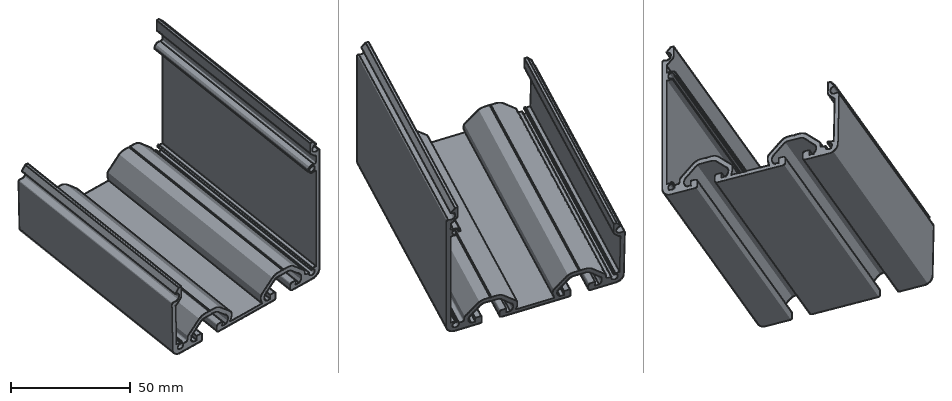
import cadquery as cq
import math

length = 100.0
half_width = 40.0
wall = 2.0
corner_radius = 4.0
tall_wall_height = 77.0
short_wall_height = 37.1
short_wall_lean = 1.1

channel_y = 20.0
slot_half = 4.0
lip_width = 3.0
lip_height = 4.4
lip_radius = 1.0
arch_half = 12.0
arch_height = 14.4
arch_roof_half = 4.5
arch_knee_radius = 2.0
roof_outer_radius = 5.0
roof_inner_radius = 3.0
arch_root_inset = 0.6
bulge_radius = 3.0
bulge_offset = 7.1
bulge_z = 4.5
cavity_roof_z = 12.0
scribe_width = 0.6
scribe_depth = 0.2

groove_radius = 1.5
groove_u = 4.2
groove_z = 3.8
shelf_radius = 1.0
barb_z = 6.0

rail_inset = 5.2
rail_groove_radius = 2.0
tall_groove_z = 72.6
short_groove_z = 32.5
tall_shoulder_drop = 1.6
short_shoulder_drop = 1.9
shoulder_radius = 0.9

catch_z = 62.0
catch_u = 4.1
catch_inner_radius = 1.4
catch_outer_radius = 2.3
catch_shelf_z = 64.1
catch_end_z = 61.7
catch_lip_z = 59.8
catch_fillet = 0.6


def bar(corners):
    """Prism along X from (y, z, corner radius) points; radius 0 is a sharp corner."""
    runs = []
    for i, (y, z, radius) in enumerate(corners):
        corner = cq.Vector(y, z)
        to_last = (cq.Vector(*corners[i - 1][:2]) - corner).normalized()
        to_next = (cq.Vector(*corners[(i + 1) % len(corners)][:2]) - corner).normalized()
        if radius == 0:
            runs.append([corner])
            continue
        half_angle = to_last.getAngle(to_next) / 2
        setback = radius / math.tan(half_angle)
        depth = radius / math.sin(half_angle) - radius
        middle = corner + (to_last + to_next).normalized() * depth
        runs.append([corner + to_last * setback, middle, corner + to_next * setback])

    outline = cq.Workplane("YZ", origin=(-length / 2, 0, 0)).moveTo(*runs[0][-1].toTuple()[:2])
    for run in runs[1:] + runs[:1]:
        outline = outline.lineTo(*run[0].toTuple()[:2])
        if len(run) == 3:
            outline = outline.threePointArc(run[1].toTuple()[:2], run[2].toTuple()[:2])
    return outline.close().extrude(length)


def rod(y, z, radius):
    """Cylinder along the full length."""
    return cq.Workplane("YZ", origin=(-length / 2, y, z)).circle(radius).extrude(length)


def from_wall(corners):
    """Turn distances from the outer face of the +Y wall into y coordinates."""
    return [(half_width - u, z, radius) for u, z, radius in corners]


def mirrored(body):
    return body.mirror("XZ")


def arch():
    """Flat-roofed arch with 45 degree shoulders and a cavity with rounded sides."""
    knee_z = arch_height - (arch_half - arch_roof_half)
    root_half = arch_half - arch_root_inset
    outer = [
        (-root_half, wall / 2, 0),
        (-root_half, wall, 0),
        (-arch_half, bulge_z, 0),
        (-arch_half, knee_z, arch_knee_radius),
        (-arch_roof_half, arch_height, roof_outer_radius),
    ]
    tangent = bulge_radius * math.sqrt(0.5)
    cavity_knee = (bulge_offset + tangent, bulge_z + tangent)
    cavity_roof_half = sum(cavity_knee) - cavity_roof_z
    cavity = [
        (-bulge_offset, 0, 0),
        (-bulge_offset, bulge_z - bulge_radius, 0),
        (-cavity_knee[0], cavity_knee[1], 0),
        (-cavity_roof_half, cavity_roof_z, roof_inner_radius),
    ]

    def symmetric(left_half):
        right_half = [(-y, z, radius) for y, z, radius in reversed(left_half)]
        return bar(left_half + right_half)

    body = symmetric(outer).cut(symmetric(cavity))
    for side in (-1, 1):
        body = body.cut(rod(side * bulge_offset, bulge_z, bulge_radius))
    scribe = bar([
        (-scribe_width / 2, arch_height, 0),
        (0, arch_height - scribe_depth, 0),
        (scribe_width / 2, arch_height, 0),
    ])
    return body.cut(scribe).translate((0, channel_y, 0))


def inner_foot():
    """Floor from the middle to the slot, ending in an upturned lip."""
    edge = channel_y - slot_half
    return bar([
        (0, 0, 0),
        (edge, 0, lip_radius),
        (edge, lip_height, lip_radius),
        (edge - lip_width, lip_height, 0),
        (edge - lip_width, wall, 0),
        (0, wall, 0),
    ])


def outer_foot():
    """Floor from the slot to the wall, with the bottom corner, barb and screw groove."""
    edge = channel_y + slot_half
    arch_face = channel_y + arch_half
    fill = arch_face - wall / 2
    groove_y = half_width - groove_u
    barb_tip = 0.7
    barb_rise = 0.5
    body = bar([
        (edge, 0, lip_radius),
        (half_width, 0, corner_radius),
        (half_width, barb_z, 0),
        (groove_y + barb_tip / 2, barb_z, 0),
        (groove_y, barb_z + barb_rise, 0),
        (groove_y - barb_tip, barb_z, 0),
        (groove_y - barb_tip / 2, groove_z + groove_radius, 0),
        (groove_y, groove_z, 0),
        (groove_y - groove_radius, lip_height, 0),
        (arch_face, lip_height, shelf_radius),
        (arch_face, barb_z, 0),
        (fill, barb_z, 0),
        (fill, wall, 0),
        (edge + lip_width, wall, 0),
        (edge + lip_width, lip_height, 0),
        (edge, lip_height, lip_radius),
    ])
    return body.cut(rod(groove_y, groove_z, groove_radius))


def upright(top, rail_groove_z, shoulder_drop):
    """Wall on the +Y side with an inset snap rail along its top."""
    rail_top_width = 1.3
    tip_u = 1.9
    tip_rise = 0.2
    bend_drop = 1.5
    bend_radius = 2.0
    groove_top_z = rail_groove_z + rail_groove_radius
    bend_z = rail_groove_z - bend_drop
    shoulder_z = rail_groove_z - shoulder_drop
    body = bar(from_wall([
        (0, corner_radius, 0),
        (0, shoulder_z, shoulder_radius),
        (rail_groove_radius, shoulder_z, 0),
        (rail_groove_radius, groove_top_z, 0),
        (tip_u, groove_top_z + tip_rise, 0),
        (rail_inset - rail_top_width, top, 0),
        (rail_inset, top, 0),
        (rail_inset, bend_z, bend_radius),
        (wall, bend_z - (rail_inset - wall), 0),
        (wall, corner_radius, 0),
    ]))
    return body.cut(rod(half_width - rail_groove_radius, rail_groove_z, rail_groove_radius))


def catch():
    """Curled hook over a short lip, on the inner face of the tall wall."""
    lip_rise = 0.3
    lip_reach = 4.8
    lip_edge = 0.6
    embed = wall / 2
    root_margin = 1.0
    root = bar(from_wall([
        (embed, catch_shelf_z + root_margin, 0),
        (wall, catch_shelf_z + root_margin, 0),
        (wall, catch_shelf_z, catch_fillet),
        (catch_u, catch_shelf_z, 0),
        (catch_u, catch_z, 0),
        (catch_u, catch_z - catch_inner_radius, 0),
        (lip_reach, catch_lip_z + lip_edge, 0),
        (lip_reach, catch_lip_z, 0),
        (wall, catch_lip_z + lip_rise, catch_fillet),
        (wall, catch_lip_z - root_margin, 0),
        (embed, catch_lip_z - root_margin, 0),
    ]))
    hook_top_z = catch_z + catch_outer_radius
    hook_reach = catch_u + catch_outer_radius
    hook_zone = bar(from_wall([
        (wall, catch_end_z, 0),
        (hook_reach, catch_end_z, 0),
        (hook_reach, hook_top_z, 0),
        (wall, hook_top_z, 0),
    ]))
    catch_y = half_width - catch_u
    curl = rod(catch_y, catch_z, catch_outer_radius).intersect(hook_zone)
    return root.union(curl).cut(rod(catch_y, catch_z, catch_inner_radius))


half_base = arch().union(inner_foot()).union(outer_foot())
base = half_base.union(mirrored(half_base))

tall_wall = upright(tall_wall_height, tall_groove_z, tall_shoulder_drop).union(catch())

pivot = (0, -half_width, corner_radius)
short_wall = mirrored(upright(short_wall_height, short_groove_z, short_shoulder_drop)).rotate(
    pivot, (1, -half_width, corner_radius), short_wall_lean
)

result = base.union(tall_wall).union(short_wall)